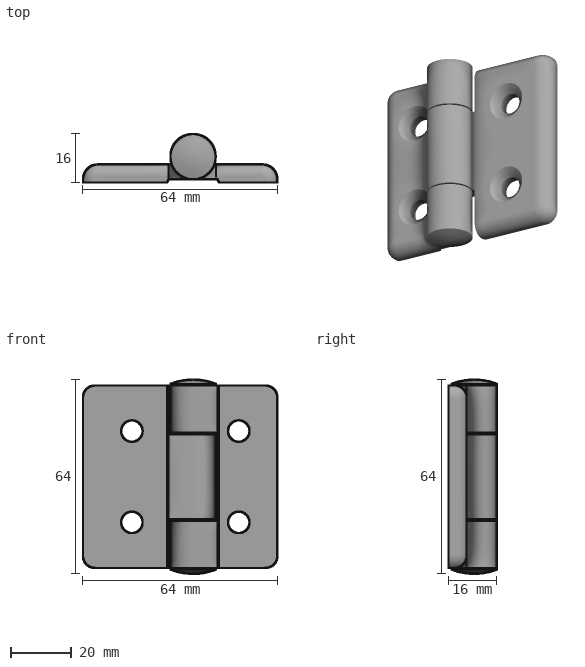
import cadquery as cq
import math

overall_length = 64.0
pin_x = 4.2
leaf_height = 60.0
leaf_thickness = 6.0
relief_depth = 1.0
knuckle_radius = 7.5
pin_y = relief_depth + knuckle_radius

knuckle_gap = 0.5
middle_knuckle_height = 28.0
recess_height = middle_knuckle_height + 2 * knuckle_gap
outer_knuckle_height = (leaf_height - recess_height) / 2
clearance_radius = knuckle_radius + knuckle_gap
bevel_width = 0.6

side_radius = 5.0
end_radius = 4.0
tolerance = 0.005

hole_diameter = 7.0
countersink_diameter = 12.5
countersink_angle = 90
hole_spacing = 30.0
left_hole_distance = 20.1
right_hole_distance = 15.05

cap_rim = 0.5
cap_height = (overall_length - leaf_height) / 2
dome_height = cap_height - cap_rim


def make_plate(direction, inner_distance, hole_distance):
    """Leaf plate reaching from the pin in the given X direction (-1 or +1)."""
    inner_x = pin_x + direction * inner_distance
    bevel_top_x = pin_x + direction * clearance_radius
    bevel_foot_x = bevel_top_x + direction * bevel_width
    outer_x = direction * overall_length / 2
    side_start_x = outer_x - direction * side_radius
    side_start_y = leaf_thickness - side_radius
    arc_mid = (
        side_start_x + direction * side_radius * math.sqrt(0.5),
        side_start_y + side_radius * math.sqrt(0.5),
    )
    profile = cq.Workplane("XY", origin=(0, 0, -leaf_height / 2)).moveTo(bevel_foot_x, 0)
    profile = profile.lineTo(outer_x, 0).lineTo(outer_x, side_start_y)
    profile = profile.threePointArc(arc_mid, (side_start_x, leaf_thickness))
    profile = profile.lineTo(inner_x, leaf_thickness).lineTo(inner_x, relief_depth)
    if inner_distance < clearance_radius:
        profile = profile.lineTo(bevel_top_x, relief_depth)
    plate = profile.close().extrude(leaf_height)

    end_edges = []
    for end_face in plate.faces("<Z or >Z").vals():
        for edge in end_face.Edges():
            middle = edge.positionAt(0.5)
            on_back = abs(middle.y - leaf_thickness) < tolerance
            on_side = direction * (middle.x - side_start_x) > 0 and middle.y > tolerance
            if on_back or on_side:
                end_edges.append(edge)
    plate = plate.newObject(end_edges).fillet(end_radius)

    hole_x = pin_x + direction * hole_distance
    hole_centers = [(-hole_x, side * hole_spacing / 2) for side in (-1, 1)]
    back_plane = cq.Plane(origin=(0, leaf_thickness, 0), xDir=(-1, 0, 0), normal=(0, 1, 0))
    return (
        plate.copyWorkplane(cq.Workplane(back_plane))
        .pushPoints(hole_centers)
        .cskHole(hole_diameter, countersink_diameter, countersink_angle)
    )


def make_knuckle(direction, web_length, bottom_z, height):
    """Round knuckle with a web running tangentially to its leaf plate."""
    base = cq.Workplane("XY", origin=(pin_x, 0, bottom_z))
    barrel = base.center(0, pin_y).circle(knuckle_radius).extrude(height)
    web_depth = leaf_thickness - relief_depth
    web = (
        base.center(direction * web_length / 2, relief_depth + web_depth / 2)
        .rect(web_length, web_depth)
        .extrude(height)
    )
    return barrel.union(web)


def make_left_leaf():
    """Wide leaf carrying the middle knuckle."""
    plate = make_plate(-1, clearance_radius, left_hole_distance)
    knuckle = make_knuckle(-1, clearance_radius, -middle_knuckle_height / 2, middle_knuckle_height)
    return plate.union(knuckle)


def make_right_leaf():
    """Narrow leaf carrying the two outer knuckles."""
    leaf = make_plate(1, knuckle_radius, right_hole_distance)
    recess = (
        cq.Workplane("XY", origin=(pin_x, pin_y, 0))
        .box(2 * clearance_radius, 2 * clearance_radius, recess_height)
    )
    leaf = leaf.cut(recess)
    for bottom_z in (-leaf_height / 2, recess_height / 2):
        leaf = leaf.union(make_knuckle(1, knuckle_radius, bottom_z, outer_knuckle_height))
    return leaf


def make_cap(end):
    """Domed cap on the upper (end = 1) or lower (end = -1) knuckle."""
    sphere_radius = (knuckle_radius**2 + dome_height**2) / (2 * dome_height)
    mid_x = knuckle_radius / 2
    mid_z = cap_height - sphere_radius + math.sqrt(sphere_radius**2 - mid_x**2)
    cap = (
        cq.Workplane("XZ")
        .lineTo(knuckle_radius, 0)
        .lineTo(knuckle_radius, cap_rim)
        .threePointArc((mid_x, mid_z), (0, cap_height))
        .close()
        .revolve(360, (0, 0, 0), (0, 1, 0))
    )
    if end < 0:
        cap = cap.mirror("XY")
    return cap.translate((pin_x, pin_y, end * leaf_height / 2))


left_leaf = make_left_leaf()
right_leaf = make_right_leaf()
caps = [make_cap(end) for end in (-1, 1)]

result = cq.Compound.makeCompound(
    [left_leaf.val(), right_leaf.val(), *[cap.val() for cap in caps]]
)